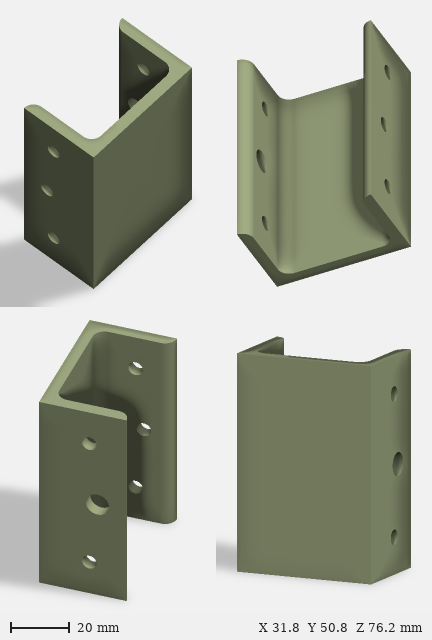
import cadquery as cq

depth = 31.8
width = 50.8
height = 76.2
flange_thickness = 4.35
web_thickness = 4.3
root_radius = web_thickness
tip_radius = flange_thickness

hole_diameter = 5.3
outer_hole_x = 13.5
outer_hole_spacing = 50.0
middle_hole_x = 10.5
large_hole_diameter = 8.4

tip_x = -depth / 2
back_x = depth / 2
web_face_x = back_x - web_thickness
outer_y = width / 2
flange_face_y = outer_y - flange_thickness


def channel():
    """Upright channel, open towards -X and centred on the origin."""
    half_section = (
        cq.Workplane("XY", origin=(0, 0, -height / 2))
        .moveTo(back_x, 0)
        .lineTo(back_x, outer_y)
        .lineTo(tip_x, outer_y)
        .radiusArc((tip_x + tip_radius, flange_face_y), -tip_radius)
        .lineTo(web_face_x - root_radius, flange_face_y)
        .radiusArc((web_face_x, flange_face_y - root_radius), root_radius)
        .lineTo(web_face_x, 0)
        .close()
    )
    half = half_section.extrude(height)
    return half.union(half.mirror("XZ")).clean()


def flange_hole(distance_from_tip, z, diameter, side):
    """Cutter along Y through one flange; side is +1 or -1 for the Y direction."""
    plane = cq.Workplane("XZ", origin=(tip_x + distance_from_tip, 0, z))
    return plane.circle(diameter / 2).extrude(-side * width)


result = channel()
for side, middle_diameter in ((-1, hole_diameter), (1, large_hole_diameter)):
    for z in (-outer_hole_spacing / 2, outer_hole_spacing / 2):
        result = result.cut(flange_hole(outer_hole_x, z, hole_diameter, side))
    result = result.cut(flange_hole(middle_hole_x, 0, middle_diameter, side))